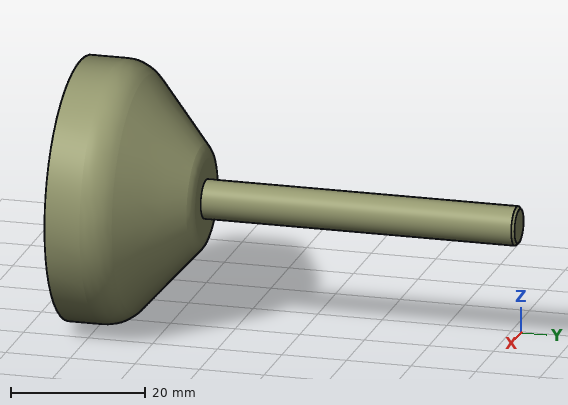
import cadquery as cq
import math

total_length = 68.0
head_diameter = 40.0
head_height = 19.5
rim_height = 5.45
rod_diameter = 6.0
rod_chamfer = 0.4

flank_angle = 48.0
shoulder_radius = 6.0
top_round_radius = 3.0

head_radius = head_diameter / 2
rod_radius = rod_diameter / 2
base_y = -total_length / 2
rod_end_y = base_y + total_length
rim_y = base_y + rim_height
head_top_y = base_y + head_height


def arc_point(center, radius, degrees):
    """Point on an arc, with the angle measured from the radial direction."""
    angle = math.radians(degrees)
    return (
        center[0] + radius * math.cos(angle),
        center[1] + radius * math.sin(angle),
    )


shoulder_center = (head_radius - shoulder_radius, rim_y)
shoulder_middle = arc_point(shoulder_center, shoulder_radius, flank_angle / 2)
shoulder_end = arc_point(shoulder_center, shoulder_radius, flank_angle)

flank_end_y = head_top_y - top_round_radius * (1 - math.sin(math.radians(flank_angle)))
flank_rise = flank_end_y - shoulder_end[1]
flank_end = (
    shoulder_end[0] - flank_rise * math.tan(math.radians(flank_angle)),
    flank_end_y,
)
top_round_center = (
    flank_end[0] - top_round_radius * math.cos(math.radians(flank_angle)),
    head_top_y - top_round_radius,
)
top_round_middle = arc_point(top_round_center, top_round_radius, (flank_angle + 90) / 2)
top_round_end = (top_round_center[0], head_top_y)

result = (
    cq.Workplane("XY")
    .moveTo(0, base_y)
    .lineTo(head_radius, base_y)
    .lineTo(head_radius, rim_y)
    .threePointArc(shoulder_middle, shoulder_end)
    .lineTo(*flank_end)
    .threePointArc(top_round_middle, top_round_end)
    .lineTo(rod_radius, head_top_y)
    .lineTo(rod_radius, rod_end_y - rod_chamfer)
    .lineTo(rod_radius - rod_chamfer, rod_end_y)
    .lineTo(0, rod_end_y)
    .close()
    .revolve(360, (0, 0, 0), (0, 1, 0))
)